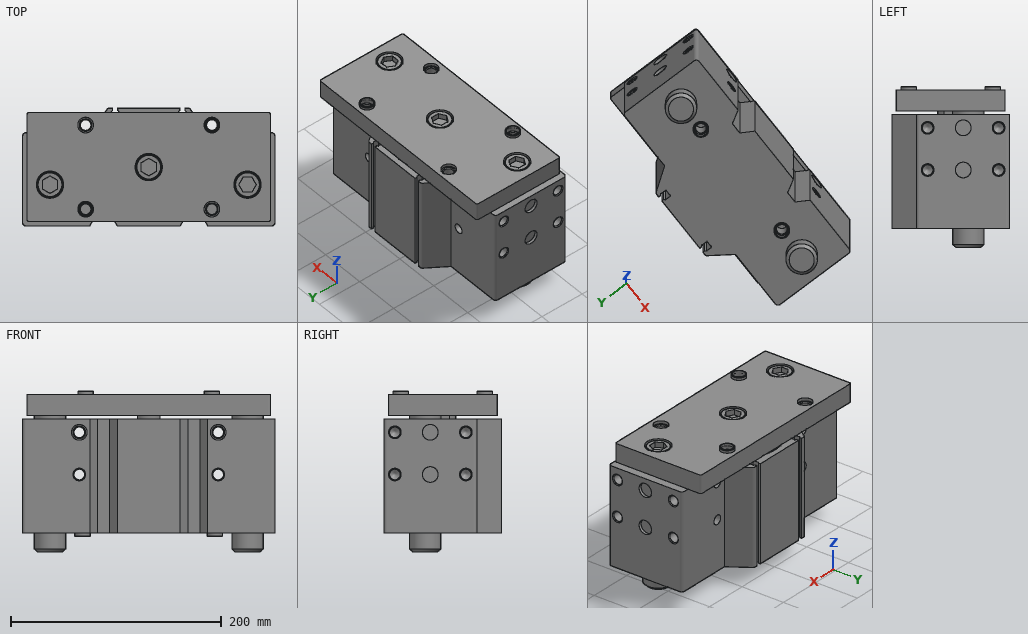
import cadquery as cq
import math


HOUSING_LENGTH = 240.0
HOUSING_HEIGHT = 108.5
HOUSING_DEPTH = 112.0
SHELF_Y = 88.8
HOUSING_CORNER = 3.4

RAIL_TOP_HALF = 39.0
RAIL_SIDE_ANGLE = 35.0
RAIL_EDGE = 3.0
SLOT_X = 32.0
SLOT_NECK = 4.8
SLOT_NECK_DEPTH = 2.2
SLOT_FLARE = 1.2
SLOT_DEPTH = 9.5

GROOVE_X = 43.0
GROOVE_MOUTH = 26.2
GROOVE_FLOOR = 11.5
GROOVE_DEPTH = 12.5

HOLE_DIAMETER = 10.0
HOLE_MOUTH = 12.0
SEAT_DIAMETER = 15.0
SEAT_DEPTH = 3.0
FRONT_HOLE_X = 66.0
UPPER_HOLE_Z = 95.8
LOWER_HOLE_Z = 55.7
SIDE_HOLE_Y = (10.5, 78.0)
SIDE_HOLE_DEPTH = 24.0
SIDE_HOLE_TIP_ANGLE = 118.0
SIDE_SEAT_Y = 44.2

RECESS_DIAMETER = 100.0
RECESS_DEPTH = 1.5

COLLAR_HEIGHT = 3.0
COLLAR_EDGE = 0.5
COLLAR_BORE = 12.5
BOTTOM_COLLAR_X = 63.0
BOTTOM_BORE_DEPTH = 24.0

PLATE_GAP = 3.0
PLATE_THICKNESS = 20.2
PLATE_LENGTH = 231.4
PLATE_FRONT_Y = 4.3
PLATE_DEPTH = 103.7
PLATE_CORNER = 2.0
PLATE_HOLE_X = 60.0
PLATE_HOLE_Y = (16.0, 96.0)

GUIDE_DIAMETER = 30.0
GUIDE_X = 93.8
GUIDE_Y = 39.4
GUIDE_OVERHANG = 18.0
GUIDE_EDGE = 3.0
PISTON_DIAMETER = 25.0
PISTON_FLATS = 21.5
PISTON_INSERTION = 48.0

HEAD_DIAMETER = 24.0
HEAD_HEIGHT = 16.0
HEAD_EDGE = 0.7
HEAD_SINK = 0.7
HEAD_BORE = 26.0
HEX_FLATS = 14.5
HEX_DEPTH = 5.8
SHANK_DIAMETER = 16.0
SHANK_IN_ROD = 24.0

PLATE_BOTTOM = HOUSING_HEIGHT + PLATE_GAP
PLATE_TOP = PLATE_BOTTOM + PLATE_THICKNESS
PISTON_Y = HOUSING_DEPTH / 2
HEAD_SEAT_Z = PLATE_TOP - HEAD_SINK - HEAD_HEIGHT
SHANK_BOTTOM = PLATE_BOTTOM - SHANK_IN_ROD
GUIDE_PLACES = [(-GUIDE_X, GUIDE_Y), (GUIDE_X, GUIDE_Y)]
PISTON_PLACE = (0, PISTON_Y)
SCREWS = [(GUIDE_PLACES[0], 30), (PISTON_PLACE, 30), (GUIDE_PLACES[1], 0)]
ENTRY_CHAMFER = (HOLE_MOUTH - HOLE_DIAMETER) / 2

UP = cq.Vector(0, 0, 1)
DOWN = cq.Vector(0, 0, -1)
INTO_FRONT = cq.Vector(0, 1, 0)


def cylinder(diameter, length, start, direction):
    return cq.Workplane(cq.Solid.makeCylinder(diameter / 2, length, cq.Vector(*start), direction))


def cone(start_diameter, end_diameter, length, start, direction):
    return cq.Workplane(
        cq.Solid.makeCone(start_diameter / 2, end_diameter / 2, length, cq.Vector(*start), direction)
    )


def entered_hole(length, start, direction):
    """A hole cutter with a 45 degree chamfer at its mouth."""
    entry = cone(HOLE_MOUTH, HOLE_DIAMETER, ENTRY_CHAMFER, start, direction)
    return cylinder(HOLE_DIAMETER, length, start, direction).union(entry)


def seated_hole(length, start, direction):
    """A chamfered hole cutter that starts at the floor of a centring seat."""
    floor = (cq.Vector(*start) + direction * SEAT_DEPTH).toTuple()
    seat = cylinder(SEAT_DIAMETER, SEAT_DEPTH, start, direction)
    return entered_hole(length - SEAT_DEPTH, floor, direction).union(seat)


def collar(start, direction):
    """A centring collar standing on a face, with a chamfered rim."""
    body = cylinder(SEAT_DIAMETER, COLLAR_HEIGHT - COLLAR_EDGE, start, direction)
    rim_start = (cq.Vector(*start) + direction * (COLLAR_HEIGHT - COLLAR_EDGE)).toTuple()
    rim = cone(SEAT_DIAMETER, SEAT_DIAMETER - 2 * COLLAR_EDGE, COLLAR_EDGE, rim_start, direction)
    return body.union(rim)


def collar_bore(length, start, direction):
    """A bore cutter through a collar and on below its face, narrowing to a chamfered hole."""
    top = (cq.Vector(*start) - direction * COLLAR_HEIGHT).toTuple()
    floor = (cq.Vector(*start) + direction * SEAT_DEPTH).toTuple()
    wide = cylinder(COLLAR_BORE, COLLAR_HEIGHT + SEAT_DEPTH, top, direction)
    return entered_hole(length - SEAT_DEPTH, floor, direction).union(wide)


def housing_block():
    block = (
        cq.Workplane("XY")
        .rect(HOUSING_LENGTH, SHELF_Y)
        .extrude(HOUSING_HEIGHT)
        .edges("|Z")
        .fillet(HOUSING_CORNER)
        .translate((0, SHELF_Y / 2, 0))
    )
    rail_root_half = RAIL_TOP_HALF + (HOUSING_DEPTH - PISTON_Y) * math.tan(math.radians(RAIL_SIDE_ANGLE))
    rail = (
        cq.Workplane("XY")
        .moveTo(-rail_root_half, PISTON_Y)
        .lineTo(rail_root_half, PISTON_Y)
        .lineTo(RAIL_TOP_HALF, HOUSING_DEPTH)
        .lineTo(-RAIL_TOP_HALF, HOUSING_DEPTH)
        .close()
        .extrude(HOUSING_HEIGHT)
        .edges("|Z and >Y")
        .fillet(RAIL_EDGE)
    )
    return block.union(rail)


def sensor_slot(x):
    neck_half = SLOT_NECK / 2
    wide_half = neck_half + SLOT_FLARE
    neck_y = HOUSING_DEPTH - SLOT_NECK_DEPTH
    floor_y = HOUSING_DEPTH - SLOT_DEPTH
    return (
        cq.Workplane("XY")
        .moveTo(x - neck_half, HOUSING_DEPTH)
        .lineTo(x - neck_half, neck_y)
        .lineTo(x - wide_half, neck_y - SLOT_FLARE)
        .lineTo(x - wide_half, floor_y)
        .lineTo(x + wide_half, floor_y)
        .lineTo(x + wide_half, neck_y - SLOT_FLARE)
        .lineTo(x + neck_half, neck_y)
        .lineTo(x + neck_half, HOUSING_DEPTH)
        .close()
        .extrude(HOUSING_HEIGHT)
    )


def front_groove(x):
    return (
        cq.Workplane("XY")
        .moveTo(x - GROOVE_MOUTH / 2, 0)
        .lineTo(x - GROOVE_FLOOR / 2, GROOVE_DEPTH)
        .lineTo(x + GROOVE_FLOOR / 2, GROOVE_DEPTH)
        .lineTo(x + GROOVE_MOUTH / 2, 0)
        .close()
        .extrude(HOUSING_HEIGHT)
    )


def side_hole(side, y, z):
    start = (side * HOUSING_LENGTH / 2, y, z)
    inward = cq.Vector(-side, 0, 0)
    tip_start = (start[0] - side * SIDE_HOLE_DEPTH, y, z)
    tip_length = HOLE_DIAMETER / 2 / math.tan(math.radians(SIDE_HOLE_TIP_ANGLE / 2))
    tip = cone(HOLE_DIAMETER, 0, tip_length, tip_start, inward)
    return entered_hole(SIDE_HOLE_DEPTH, start, inward).union(tip)


def make_housing():
    top_centre = (*PISTON_PLACE, HOUSING_HEIGHT)
    housing = housing_block().cut(cylinder(RECESS_DIAMETER, RECESS_DEPTH, top_centre, DOWN))
    for side in (-1, 1):
        housing = housing.cut(sensor_slot(side * SLOT_X))
        housing = housing.cut(front_groove(side * GROOVE_X))
        hole_x = side * FRONT_HOLE_X
        housing = housing.cut(seated_hole(SHELF_Y, (hole_x, 0, UPPER_HOLE_Z), INTO_FRONT))
        housing = housing.cut(entered_hole(SHELF_Y, (hole_x, 0, LOWER_HOLE_Z), INTO_FRONT))
        for z in (UPPER_HOLE_Z, LOWER_HOLE_Z):
            for y in SIDE_HOLE_Y:
                housing = housing.cut(side_hole(side, y, z))
            seat_start = (side * HOUSING_LENGTH / 2, SIDE_SEAT_Y, z)
            housing = housing.cut(cylinder(SEAT_DIAMETER, SEAT_DEPTH, seat_start, cq.Vector(-side, 0, 0)))
        collar_place = (side * BOTTOM_COLLAR_X, GUIDE_Y, 0)
        housing = housing.union(collar(collar_place, DOWN))
        housing = housing.cut(collar_bore(BOTTOM_BORE_DEPTH, collar_place, UP))
    for x, y in GUIDE_PLACES:
        housing = housing.cut(cylinder(GUIDE_DIAMETER, HOUSING_HEIGHT, (x, y, 0), UP))
    return housing.cut(cylinder(PISTON_DIAMETER, PISTON_INSERTION, top_centre, DOWN))


def screw_bore(place):
    """A cutter for the counterbored passage of a screw."""
    top = (*place, PLATE_TOP)
    head_bore = cylinder(HEAD_BORE, PLATE_TOP - HEAD_SEAT_Z, top, DOWN)
    return cylinder(SHANK_DIAMETER, PLATE_THICKNESS, top, DOWN).union(head_bore)


def make_plate():
    plate = (
        cq.Workplane("XY", origin=(0, PLATE_FRONT_Y + PLATE_DEPTH / 2, PLATE_BOTTOM))
        .rect(PLATE_LENGTH, PLATE_DEPTH)
        .extrude(PLATE_THICKNESS)
        .edges("|Z")
        .fillet(PLATE_CORNER)
    )
    front_y, rear_y = PLATE_HOLE_Y
    for x, y in [(-PLATE_HOLE_X, rear_y), (PLATE_HOLE_X, front_y)]:
        plate = plate.cut(seated_hole(PLATE_THICKNESS, (x, y, PLATE_TOP), DOWN))
    for x, y in [(-PLATE_HOLE_X, front_y), (PLATE_HOLE_X, rear_y)]:
        plate = plate.union(collar((x, y, PLATE_TOP), UP))
        plate = plate.cut(collar_bore(PLATE_THICKNESS, (x, y, PLATE_TOP), DOWN))
    for place, _ in SCREWS:
        plate = plate.cut(screw_bore(place))
    return plate


def screw_hole_in_rod(place):
    return cylinder(SHANK_DIAMETER, SHANK_IN_ROD, (*place, SHANK_BOTTOM), UP)


def make_guide_rod(place):
    length = PLATE_BOTTOM + GUIDE_OVERHANG
    rod = cylinder(GUIDE_DIAMETER, length, (*place, -GUIDE_OVERHANG), UP).faces("<Z").chamfer(GUIDE_EDGE)
    return rod.cut(screw_hole_in_rod(place))


def make_piston_rod():
    """A round rod with two flats facing +X and -X on its neck above the housing."""
    rod = cylinder(PISTON_DIAMETER, PISTON_INSERTION, (*PISTON_PLACE, HOUSING_HEIGHT - PISTON_INSERTION), UP)
    flats = (
        cq.Workplane("XY", origin=(*PISTON_PLACE, HOUSING_HEIGHT))
        .rect(PISTON_FLATS, PISTON_DIAMETER)
        .extrude(PLATE_GAP)
    )
    neck = cylinder(PISTON_DIAMETER, PLATE_GAP, (*PISTON_PLACE, HOUSING_HEIGHT), UP).intersect(flats)
    return rod.union(neck).cut(screw_hole_in_rod(PISTON_PLACE))


def make_screw(place, hex_angle):
    head = cylinder(HEAD_DIAMETER, HEAD_HEIGHT, (*place, HEAD_SEAT_Z), UP).faces(">Z").chamfer(HEAD_EDGE)
    shank = cylinder(SHANK_DIAMETER, HEAD_SEAT_Z - SHANK_BOTTOM, (*place, SHANK_BOTTOM), UP)
    hex_corners = HEX_FLATS / math.cos(math.pi / 6)
    socket = (
        cq.Workplane("XY")
        .polygon(6, hex_corners)
        .extrude(HEX_DEPTH)
        .rotate((0, 0, 0), (0, 0, 1), hex_angle)
        .translate((*place, HEAD_SEAT_Z + HEAD_HEIGHT - HEX_DEPTH))
    )
    return head.union(shank).cut(socket)


housing = make_housing()
plate = make_plate()
guide_rods = [make_guide_rod(place) for place in GUIDE_PLACES]
piston_rod = make_piston_rod()
screws = [make_screw(place, hex_angle) for place, hex_angle in SCREWS]

result = cq.Compound.makeCompound(
    [
        housing.val(),
        plate.val(),
        *[rod.val() for rod in guide_rods],
        piston_rod.val(),
        *[screw.val() for screw in screws],
    ]
)